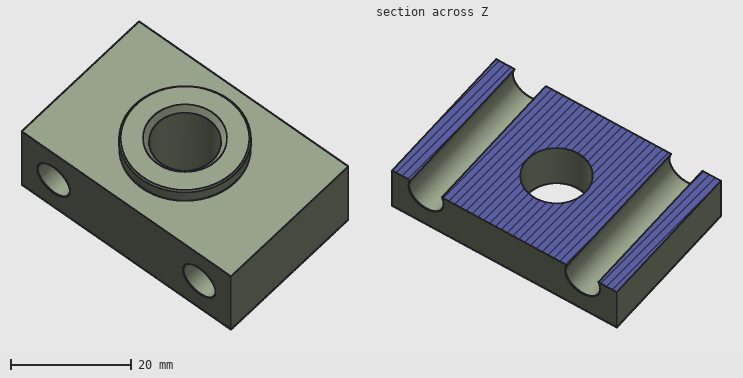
import cadquery as cq

BLOCK_LENGTH = 46.0
BLOCK_WIDTH = 30.0
BLOCK_HEIGHT = 15.0

COLLAR_DIAMETER = 22.0
COLLAR_HEIGHT = 3.0
COLLAR_CHAMFER = 0.3

BORE_DIAMETER = 12.0
BORE_CHAMFER = 1.0

MOUNT_HOLE_DIAMETER = 7.0
MOUNT_HOLE_SPACING = 32.0
MOUNT_HOLE_HEIGHT = BLOCK_HEIGHT / 2
MOUNT_HOLE_CHAMFER = 0.1


def make_block():
    centering = (True, True, False)
    return cq.Workplane("XY").box(BLOCK_LENGTH, BLOCK_WIDTH, BLOCK_HEIGHT, centered=centering)


def make_collar():
    base = cq.Workplane("XY", origin=(0, 0, BLOCK_HEIGHT))
    disc = base.circle(COLLAR_DIAMETER / 2).extrude(COLLAR_HEIGHT)
    return disc.faces("<Z or >Z").edges().chamfer(COLLAR_CHAMFER)


def make_bore():
    """Through bore that flares into a 45 degree countersink at the collar top."""
    top = BLOCK_HEIGHT + COLLAR_HEIGHT
    radius = BORE_DIAMETER / 2
    half_profile = [
        (0, 0),
        (radius, 0),
        (radius, top - BORE_CHAMFER),
        (radius + BORE_CHAMFER, top),
        (0, top),
    ]
    return cq.Workplane("XZ").polyline(half_profile).close().revolve(360, (0, 0, 0), (0, 1, 0))


def make_mount_hole(x):
    """Through hole along Y with its mouth slightly broken at both ends."""
    radius = MOUNT_HOLE_DIAMETER / 2
    mouth_radius = radius + MOUNT_HOLE_CHAMFER
    end = BLOCK_WIDTH / 2
    half_profile = [
        (0, -end),
        (mouth_radius, -end),
        (radius, -end + MOUNT_HOLE_CHAMFER),
        (radius, end - MOUNT_HOLE_CHAMFER),
        (mouth_radius, end),
        (0, end),
    ]
    section = cq.Workplane("XY", origin=(x, 0, MOUNT_HOLE_HEIGHT)).polyline(half_profile).close()
    return section.revolve(360, (0, 0, 0), (0, 1, 0))


result = make_block().union(make_collar()).cut(make_bore())
for side in (-1, 1):
    result = result.cut(make_mount_hole(side * MOUNT_HOLE_SPACING / 2))